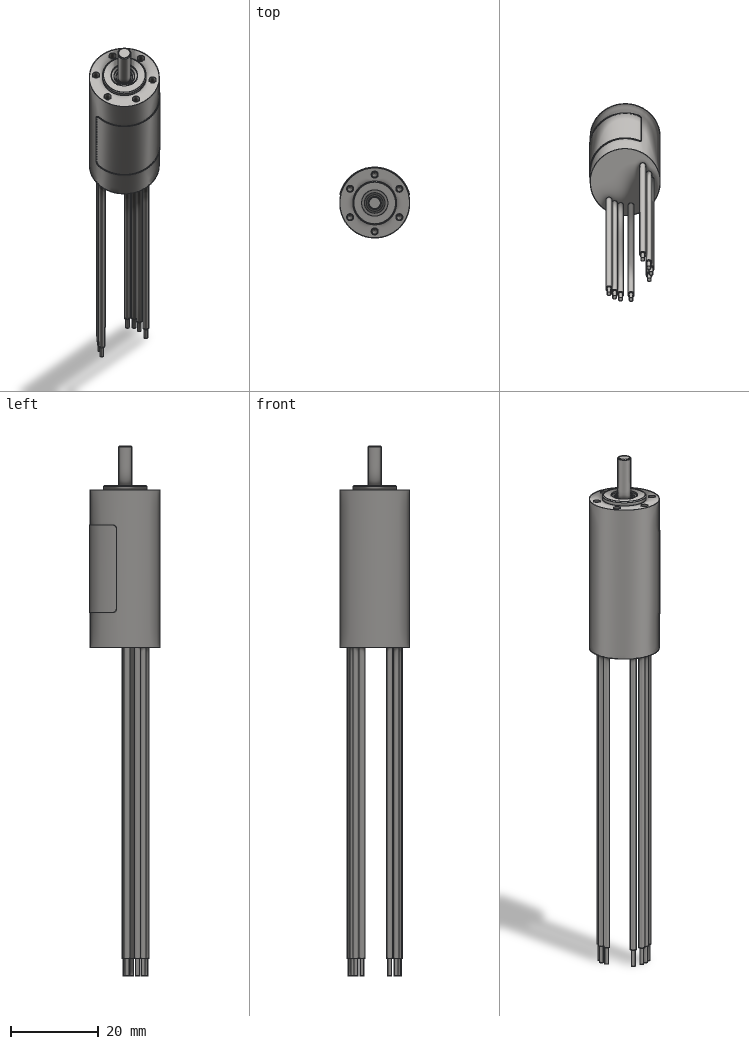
import cadquery as cq
import math

BODY_RADIUS = 8.0
BODY_LENGTH = 36.0

BOSS_RADIUS = 5.0
BOSS_HEIGHT = 1.0
BOSS_CHAMFER = 0.25
RECESS_STEPS = [(3.0, 0.4), (2.35, 0.7), (1.9, 1.0)]

SHAFT_RADIUS = 1.5
SHAFT_LENGTH = 10.0
SHAFT_CHAMFER = 0.2

HOLE_COUNT = 6
HOLE_CIRCLE_RADIUS = 6.5
THREAD_RADIUS = 0.8
THREAD_DEPTH = 2.5
PILOT_RADIUS = 0.625
PILOT_DEPTH = 3.0
DRILL_POINT_ANGLE = 118.0
FIRST_HOLE_ANGLE = 90.0

LABEL_THICKNESS = 0.2
LABEL_TOP = -8.0
LABEL_LENGTH = 20.0
LABEL_ARC = 152.0
LABEL_CORNER_RADIUS = 1.0
LABEL_START_ANGLE = 90.0 - LABEL_ARC / 2

OVERALL_LENGTH = 121.0
WIRE_LENGTH = OVERALL_LENGTH - SHAFT_LENGTH - BODY_LENGTH
WIRE_RADIUS = 0.7
BARE_RADIUS = 0.45
BARE_LENGTH = 4.0

LEFT_WIRES = [(-5.6, -0.45), (-5.0, -2.8), (-4.3, -4.1), (-2.9, -4.75)]
RIGHT_WIRES = [(5.65, 0.0), (5.45, -1.5), (4.9, -2.85), (3.4, -4.7)]


def make_body():
    return cq.Workplane("XY").circle(BODY_RADIUS).extrude(-BODY_LENGTH)


def make_boss():
    boss = cq.Workplane("XY").circle(BOSS_RADIUS).extrude(BOSS_HEIGHT)
    boss = boss.faces(">Z").chamfer(BOSS_CHAMFER)
    for radius, depth in RECESS_STEPS:
        recess = cq.Workplane("XY", origin=(0, 0, BOSS_HEIGHT)).circle(radius).extrude(-depth)
        boss = boss.cut(recess)
    return boss


def make_shaft():
    shaft = cq.Workplane("XY").circle(SHAFT_RADIUS).extrude(SHAFT_LENGTH)
    return shaft.faces(">Z").chamfer(SHAFT_CHAMFER)


def make_mounting_hole(angle):
    """Solid to cut away for one hole: thread, pilot, drill point."""
    point_depth = PILOT_RADIUS / math.tan(math.radians(DRILL_POINT_ANGLE / 2))
    profile = [
        (0, 0),
        (THREAD_RADIUS, 0),
        (THREAD_RADIUS, -THREAD_DEPTH),
        (PILOT_RADIUS, -THREAD_DEPTH),
        (PILOT_RADIUS, -PILOT_DEPTH),
        (0, -PILOT_DEPTH - point_depth),
    ]
    hole = cq.Workplane("XZ").polyline(profile).close().revolve(360, (0, 0), (0, 1))
    hole = hole.translate((HOLE_CIRCLE_RADIUS, 0, 0))
    return hole.rotate((0, 0, 0), (0, 0, 1), angle)


def make_label():
    """Curved plate centred on +Y; its inner face lies on the body surface."""
    label = (
        cq.Workplane("XZ")
        .moveTo(BODY_RADIUS + LABEL_THICKNESS / 2, LABEL_TOP - LABEL_LENGTH / 2)
        .rect(LABEL_THICKNESS, LABEL_LENGTH)
        .revolve(LABEL_ARC, (0, 0), (0, 1))
    )
    label = label.edges("#Z and %LINE").fillet(LABEL_CORNER_RADIUS)
    return label.rotate((0, 0, 0), (0, 0, 1), LABEL_START_ANGLE)


def make_wire(x, y):
    """One insulated lead with a bare end, hanging from the body's lower face."""
    start = cq.Workplane("XY", origin=(x, y, -BODY_LENGTH))
    insulation = start.circle(WIRE_RADIUS).extrude(-(WIRE_LENGTH - BARE_LENGTH))
    bare_wire = start.circle(BARE_RADIUS).extrude(-WIRE_LENGTH)
    return insulation.union(bare_wire)


result = make_body().union(make_boss()).union(make_shaft()).union(make_label())
for hole_index in range(HOLE_COUNT):
    result = result.cut(make_mounting_hole(FIRST_HOLE_ANGLE + hole_index * 360 / HOLE_COUNT))
for wire_x, wire_y in LEFT_WIRES + RIGHT_WIRES:
    result = result.union(make_wire(wire_x, wire_y))